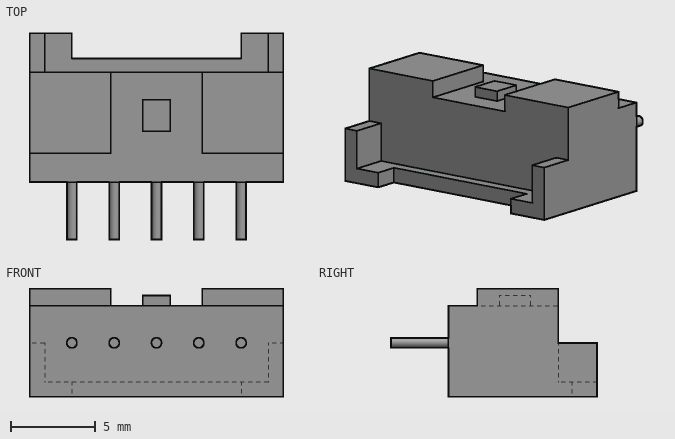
import cadquery as cq

length = 15.0
body_depth = 6.5
deck_height = 5.4

overall_height = 6.4
pad_length = 4.8
pad_setback = 1.7

key_length = 1.65
key_depth = 1.85
key_height = 0.6
key_setback = 3.0

shroud_depth = 2.3
shroud_height = 3.2
side_wall = 0.9
floor_thickness = side_wall
notch_length = 10.0
notch_depth = 1.5

pin_count = 5
pin_pitch = 2.5
pin_diameter = 0.6
pin_length = 3.4
pin_height = 3.2
pin_embed = 1.0


def block(x_size, y_size, z_size, x_center, y_start, z_start):
    """Box centred at x_center that extends to +Y and +Z from its start values."""
    box = cq.Workplane("XY").box(x_size, y_size, z_size, centered=(True, False, False))
    return box.translate((x_center, y_start, z_start))


def make_body():
    """Main block with its two end pads and the polarity key."""
    body = block(length, body_depth, deck_height, 0, 0, 0)
    pad_center = (length - pad_length) / 2
    for side in (-1, 1):
        pad = block(
            pad_length, body_depth - pad_setback, overall_height - deck_height,
            side * pad_center, pad_setback, deck_height,
        )
        body = body.union(pad)
    key = block(key_length, key_depth, key_height, 0, key_setback, deck_height)
    return body.union(key)


def make_shroud():
    """Floor and side walls that reach past the main block on the mating side."""
    shroud = block(length, shroud_depth, floor_thickness, 0, body_depth, 0)
    wall_center = (length - side_wall) / 2
    for side in (-1, 1):
        wall = block(side_wall, shroud_depth, shroud_height, side * wall_center, body_depth, 0)
        shroud = shroud.union(wall)
    notch_start = body_depth + shroud_depth - notch_depth
    notch = block(notch_length, notch_depth, floor_thickness, 0, notch_start, 0)
    return shroud.cut(notch)


def make_pin(x_center):
    """Round pin leaving the Y = 0 face toward -Y, rooted inside the main block."""
    base = cq.Workplane("XZ", origin=(x_center, pin_embed, pin_height))
    return base.circle(pin_diameter / 2).extrude(pin_length + pin_embed)


result = make_body().union(make_shroud())
for index in range(pin_count):
    pin_x = (index - (pin_count - 1) / 2) * pin_pitch
    result = result.union(make_pin(pin_x))